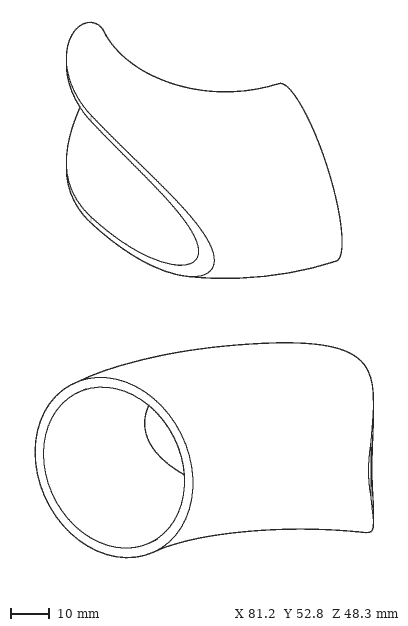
import cadquery as cq
import math

pipe_diameter = 48.3
wall = 2.6
outer_reach = 81.15
bend_angle = 90
bend_radius = outer_reach - pipe_diameter / 2

depth = 52.8
toe_radius = 28.5
toe_center_x = 26.8
toe_center_y = toe_radius - depth
tangent_x = 35.2
flank_radius = 147.7


def arc_y(center_x, center_y, radius, x):
    """Y of the lower side of a circle at the given X."""
    return center_y - math.sqrt(radius**2 - (x - center_x) ** 2)


def bent_rod(radius):
    """Solid round rod bent from the +X axis round to the -Y axis."""
    rod = cq.Workplane("XZ").center(bend_radius, 0).circle(radius)
    return rod.revolve(bend_angle, (-bend_radius, 0), (-bend_radius, -1))


def trim_block():
    """Full-height block whose lower side is the trimmed end of the pipe."""
    tangent_y = arc_y(toe_center_x, toe_center_y, toe_radius, tangent_x)

    center_scale = flank_radius / toe_radius
    flank_center_x = tangent_x + (toe_center_x - tangent_x) * center_scale
    flank_center_y = tangent_y + (toe_center_y - tangent_y) * center_scale

    def flank_point(x):
        return x, arc_y(flank_center_x, flank_center_y, flank_radius, x)

    toe_end_y = arc_y(toe_center_x, toe_center_y, toe_radius, 0)
    profile = (
        cq.Workplane("XY")
        .moveTo(0, 0)
        .lineTo(0, toe_end_y)
        .threePointArc((toe_center_x, -depth), (tangent_x, tangent_y))
        .threePointArc(flank_point((tangent_x + outer_reach) / 2), flank_point(outer_reach))
        .lineTo(outer_reach, 0)
        .close()
    )
    return profile.extrude(pipe_diameter, both=True)


outer = bent_rod(pipe_diameter / 2)
bore = bent_rod(pipe_diameter / 2 - wall)
result = outer.cut(bore).intersect(trim_block())